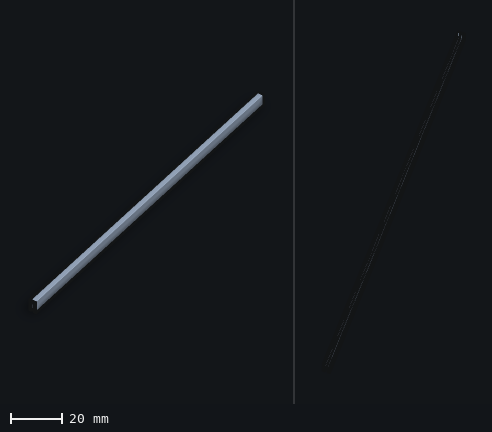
import cadquery as cq

width = 3.1242
length = 152.4
height = 5.334

wall_thickness = 1.016

corner_radius = 0.3048

slot_width = width - 2 * wall_thickness
slot_depth = height - wall_thickness


def round_topped_bar(bar_width, bar_height):
    """Full-length bar standing on the XY plane, with both long top edges rounded."""
    bar = cq.Workplane("XY").box(bar_width, length, bar_height, centered=(True, True, False))
    return bar.edges("|Y and >Z").fillet(corner_radius)


def channel():
    """Inverted U: a bar with a full-length slot that opens downward between two legs."""
    body = round_topped_bar(width, height)
    slot = round_topped_bar(slot_width, slot_depth)
    return body.cut(slot).translate((0, 0, -height / 2))


result = channel()